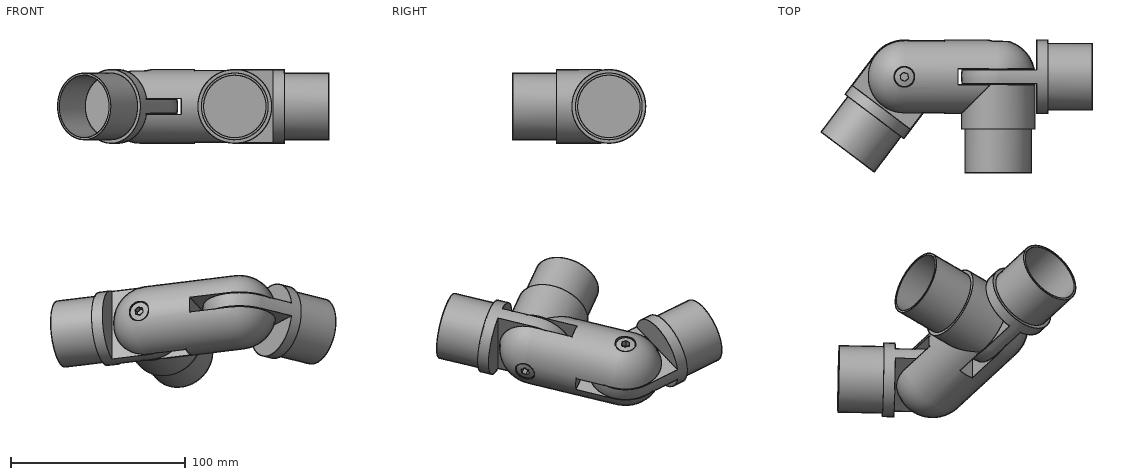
import cadquery as cq
import math

overall_length = 155.8
pivot_span = 53.9
bend_angle = 37.0

tube_radius = 21.2
spigot_radius = 19.2
bore_radius = 17.9
bore_depth = 25.0

tongue_thickness = 8.0
slot_width = 9.0
slot_reach = 23.0
collar_start = 22.0
collar_width = 6.5

pivots = [
    (0, 0, 270 - bend_angle),
    (pivot_span, -90, 0),
]

bend = math.radians(bend_angle)
connector_length = (overall_length - pivot_span - spigot_radius * math.cos(bend)) / (1 + math.sin(bend))

branch_shoulder = 30.0
branch_length = 55.1

screw_radius = 5.6
screw_hole_radius = 5.9
screw_dome_radius = 20.5
screw_tip_depth = slot_width / 2 + tongue_thickness
hex_across_corners = 5.1
hex_turn = 40.0
hex_floor_height = 16.4


def rod(radius, start, end):
    """Round rod along +X between two stations."""
    return cq.Workplane("YZ").workplane(offset=start).circle(radius).extrude(end - start)


def round_ended_rod(length):
    """Full-size rod along +X with a ball end centred at the origin."""
    return rod(tube_radius, 0, length).union(cq.Workplane("XY").sphere(tube_radius))


def tube_end(shoulder, end):
    """Spigot along +X from a shoulder to its open end."""
    return rod(spigot_radius, shoulder, end)


def tube_bore(end):
    """Blind bore that opens at the spigot end."""
    return rod(bore_radius, end - bore_depth, end)


def at_pivot(body, station, axis_turn):
    """Tilt the joint axis of a body about X and move the body to a station along X."""
    return body.rotate((0, 0, 0), (1, 0, 0), axis_turn).translate((station, 0, 0))


def pivot_rod(radius):
    """Round rod along the joint axis Z, from the screw tip up to the tube surface."""
    base = cq.Workplane("XY").workplane(offset=-screw_tip_depth)
    return base.circle(radius).extrude(screw_tip_depth + tube_radius)


def make_screw():
    """Pin along Z with a domed top and a hexagon socket."""
    pin = pivot_rod(screw_radius).intersect(cq.Workplane("XY").sphere(screw_dome_radius))
    socket = (
        cq.Workplane("XY")
        .workplane(offset=hex_floor_height)
        .polygon(6, hex_across_corners)
        .extrude(tube_radius - hex_floor_height)
        .rotate((0, 0, 0), (0, 0, 1), hex_turn)
    )
    return pin.cut(socket)


def make_screw_hole():
    """Blind hole for a screw, slightly wider than the screw and open at the tube surface."""
    return pivot_rod(screw_hole_radius)


def make_slot():
    """Slot for a tongue, closed towards +X and open on every other side."""
    open_reach = 2 * tube_radius
    return (
        cq.Workplane("XY")
        .box(slot_reach + open_reach, 2 * open_reach, slot_width)
        .translate(((slot_reach - open_reach) / 2, 0, 0))
    )


def make_connector():
    """Connector along +X: flat tongue around the pivot, collar and hollow spigot."""
    collar_end = collar_start + collar_width
    slab = cq.Workplane("XY").box(4 * tube_radius, 2 * tube_radius, tongue_thickness)
    tongue = round_ended_rod(collar_start).intersect(slab)
    return (
        tongue
        .union(rod(tube_radius, collar_start, collar_end))
        .union(tube_end(collar_end, connector_length))
        .cut(tube_bore(connector_length))
        .cut(make_screw_hole())
    )


def make_branch():
    """Ball-ended side branch along -Y at pivot B, with a hollow spigot."""
    branch = round_ended_rod(branch_shoulder).union(tube_end(branch_shoulder, branch_length))
    branch = branch.cut(tube_bore(branch_length))
    return branch.rotate((0, 0, 0), (0, 0, 1), -90).translate((pivot_span, 0, 0))


def make_housing():
    """Ball-ended tube between the pivots, with the side branch and a slot and screw hole per pivot."""
    body = round_ended_rod(pivot_span).union(make_branch())
    for station, axis_turn, _ in pivots:
        slot_turn = 180 if station > 0 else 0
        slot = make_slot().rotate((0, 0, 0), (0, 0, 1), slot_turn)
        body = body.cut(at_pivot(slot, station, axis_turn))
        body = body.cut(at_pivot(make_screw_hole(), station, axis_turn))
    return body


housing = make_housing()

connectors = []
screws = []
for station, axis_turn, swing in pivots:
    connector = make_connector().rotate((0, 0, 0), (0, 0, 1), swing)
    connectors.append(at_pivot(connector, station, axis_turn))
    screws.append(at_pivot(make_screw(), station, axis_turn))

bodies = [housing, *connectors, *screws]
result = cq.Compound.makeCompound([body.solids().val() for body in bodies])